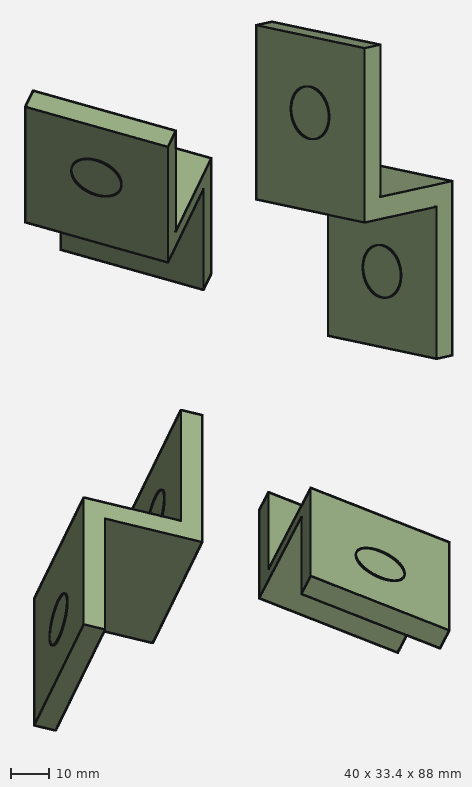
import cadquery as cq

width = 40.0
height = 88.0
plate_thickness = 6.0
overall_depth = 33.4
web_bottom_z = 41.0

disc_diameter = 14.1
disc_height = 0.22
disc_end_distance = 20.5

plate_depth = overall_depth - 2 * disc_height
web_top_z = web_bottom_z + plate_thickness
lower_leg_y = plate_depth - plate_thickness


def z_profile():
    """Upper leg at the front, lower leg at the back, joined by a level web."""
    points = [
        (0, web_bottom_z),
        (0, height),
        (plate_thickness, height),
        (plate_thickness, web_top_z),
        (plate_depth, web_top_z),
        (plate_depth, 0),
        (lower_leg_y, 0),
        (lower_leg_y, web_bottom_z),
    ]
    return cq.Workplane("YZ").polyline(points).close().extrude(width / 2, both=True)


def disc_through_leg(leg_front_y, center_z):
    """Cylinder through a leg, proud of its front and back faces."""
    length = plate_thickness + 2 * disc_height
    return (
        cq.Workplane("XZ", origin=(0, leg_front_y - disc_height, center_z))
        .circle(disc_diameter / 2)
        .extrude(-length)
    )


result = z_profile()
for leg_front_y, center_z in [
    (0, height - disc_end_distance),
    (lower_leg_y, disc_end_distance),
]:
    result = result.union(disc_through_leg(leg_front_y, center_z))